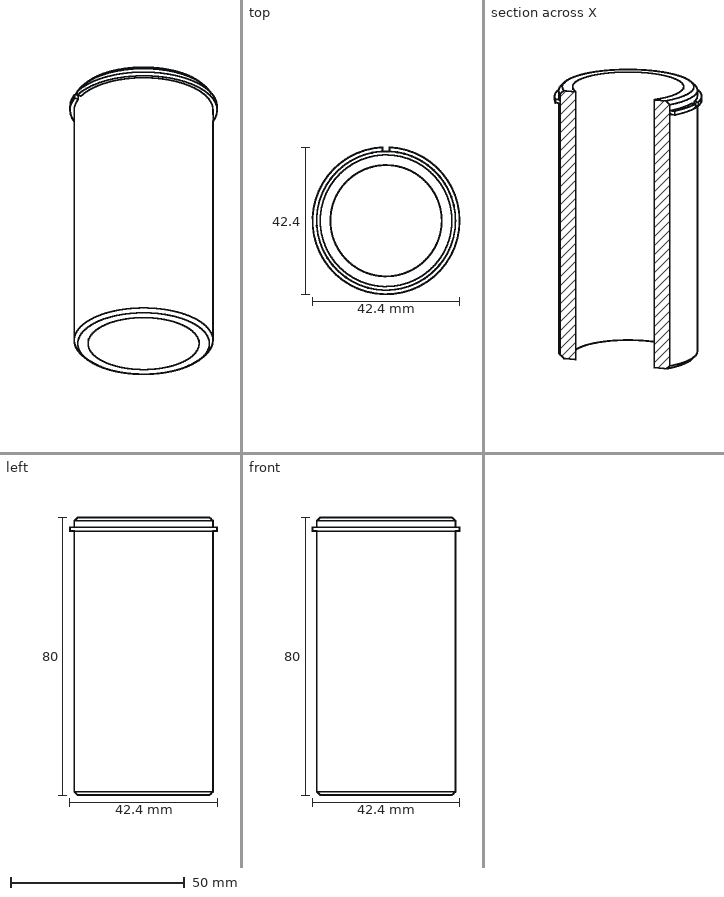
import cadquery as cq

LENGTH = 80.0
OUTER_RADIUS = 20.0
BORE_RADIUS = 16.0
CHAMFER = 1.0

RING_RADIUS = 21.2
RING_THICKNESS = 1.2
RING_TOP_OFFSET = 2.8
RING_GAP = 1.9

RING_BOTTOM = LENGTH - RING_TOP_OFFSET - RING_THICKNESS


def make_sleeve():
    """Straight tube with chamfered outer rims."""
    body = cq.Workplane("XY").circle(OUTER_RADIUS).extrude(LENGTH)
    body = body.faces("<Z or >Z").edges().chamfer(CHAMFER)
    bore = cq.Workplane("XY").circle(BORE_RADIUS).extrude(LENGTH)
    return body.cut(bore)


def make_ring():
    """Flat ring seated on the sleeve, split on the +Y side."""
    base = cq.Workplane("XY").workplane(offset=RING_BOTTOM)
    ring = base.circle(RING_RADIUS).circle(OUTER_RADIUS).extrude(RING_THICKNESS)
    gap = base.rect(RING_GAP, RING_RADIUS, centered=(True, False)).extrude(RING_THICKNESS)
    return ring.cut(gap)


sleeve = make_sleeve()
ring = make_ring()

result = cq.Compound.makeCompound([sleeve.val(), ring.val()])